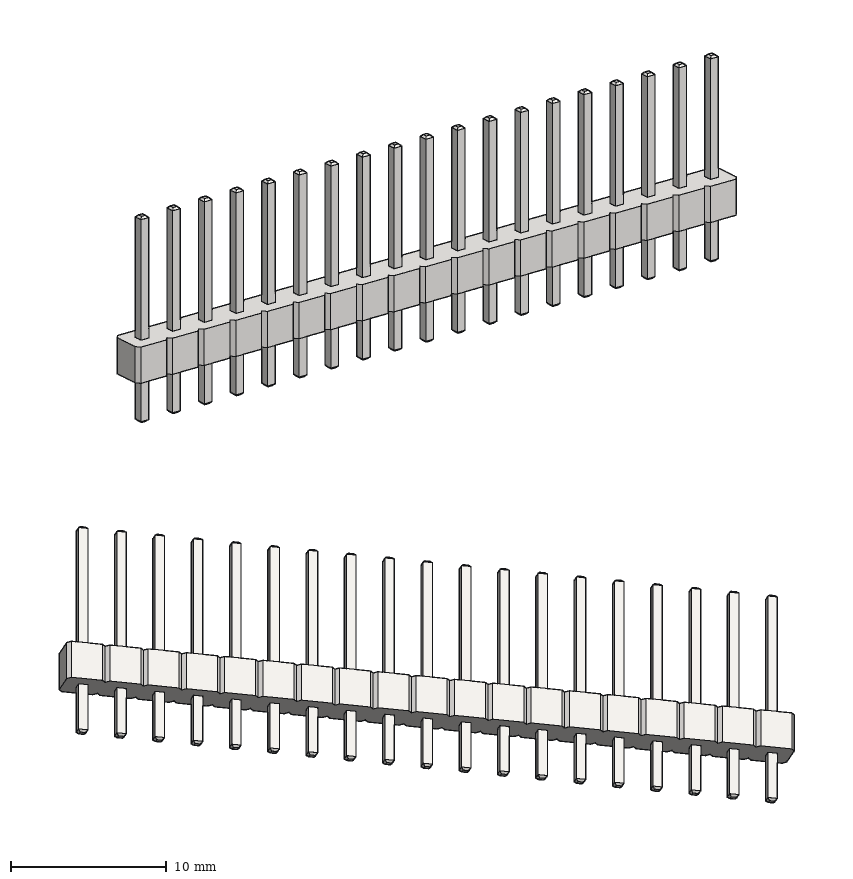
import cadquery as cq

pin_count = 19
row_length = 48.25
body_width = 2.5
body_height = 2.5
corner_cut_x = 0.3
corner_cut_y = 0.25
pin_side = 0.65
pin_length = 14.3
pin_tail = 3.3
tip_chamfer = 0.15

pitch = row_length / pin_count
pin_positions = [(0, (i - (pin_count - 1) / 2) * pitch) for i in range(pin_count)]


def make_body():
    """Row of eight-sided cells that touch at their end faces; the underside is at Z = 0."""
    half_x = body_width / 2
    half_y = pitch / 2
    flat_x = half_x - corner_cut_x
    flat_y = half_y - corner_cut_y
    cell_outline = [
        (flat_x, -half_y),
        (half_x, -flat_y),
        (half_x, flat_y),
        (flat_x, half_y),
        (-flat_x, half_y),
        (-half_x, flat_y),
        (-half_x, -flat_y),
        (-flat_x, -half_y),
    ]
    cell = cq.Workplane("XY").polyline(cell_outline).close().extrude(body_height).val()
    return cq.Workplane("XY").pushPoints(pin_positions).eachpoint(cell, combine=True)


def make_pins():
    """Square pins through the body, tapered on all four sides at both tips."""
    pin = (
        cq.Workplane("XY")
        .box(pin_side, pin_side, pin_length, centered=(True, True, False))
        .faces("<Z or >Z")
        .chamfer(tip_chamfer)
        .translate((0, 0, -pin_tail))
        .val()
    )
    return cq.Workplane("XY").pushPoints(pin_positions).eachpoint(pin)


result = make_body().union(make_pins())